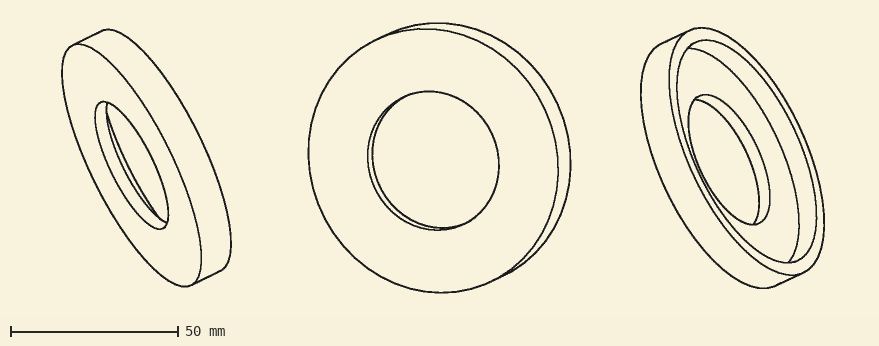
import cadquery as cq

outer_diameter = 80.0
bore_diameter = 42.0
thickness = 10.4
wall = 4.0

front_y = -thickness / 2
back_y = thickness / 2
plate_back_y = front_y + wall
recess_diameter = outer_diameter - 2 * wall


def make_cylinder(diameter, start_y, end_y):
    """Cylinder about the Y axis between two Y positions."""
    base = cq.Plane(origin=(0, start_y, 0), normal=(0, 1, 0))
    return cq.Workplane(base).circle(diameter / 2).extrude(end_y - start_y)


def make_ring():
    """Disc with a through bore and a wider recess open at the back."""
    disc = make_cylinder(outer_diameter, front_y, back_y)
    bore = make_cylinder(bore_diameter, front_y, back_y)
    recess = make_cylinder(recess_diameter, plate_back_y, back_y)
    return disc.cut(bore).cut(recess)


result = make_ring()